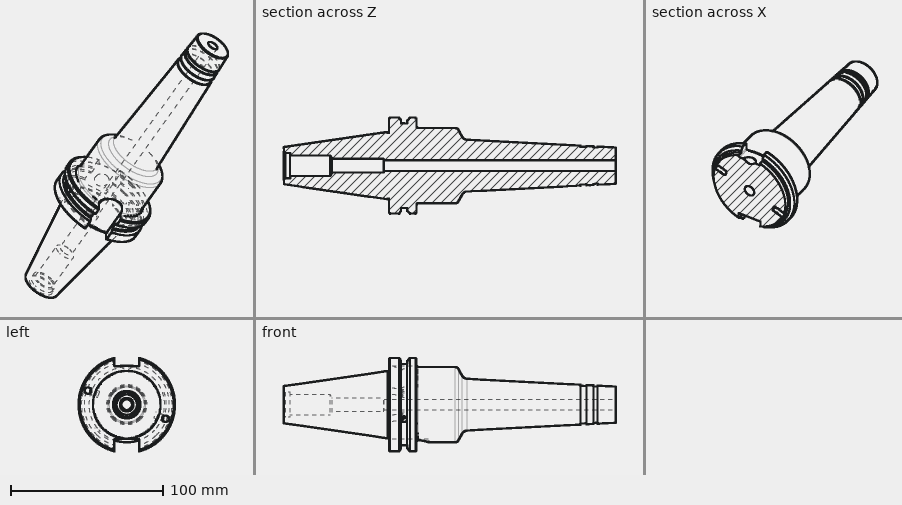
import cadquery as cq
import math

total_length = 218.2
gauge_x = 68.3
flange_start = 69.2
flange_end = 87.3

gauge_radius = 22.3
taper_ratio = 7 / 24 / 2
small_end_radius = gauge_radius - gauge_x * taper_ratio
small_end_fillet = 0.9
neck_radius = 21.5

flange_radius = 63.5 / 2
flange_chamfer_radial = 0.9
flange_chamfer_axial = 0.7
groove_floor_radius = 28.0
groove_floor_start = 77.3
groove_floor_end = 81.2
groove_wall_radius = 29.7
groove_left_bevel = 1.3
groove_right_bevel = 1.7

body_radius = 49.5 / 2
body_root_fillet = 1.0
body_corner_x = 114.1
body_corner_fillet = 2.5
nose_start_x = 118.3
nose_start_radius = 17.2
nose_root_fillet = 3.7
nose_angle = 3.0
nose_end_chamfer = 0.5

ring_spans = [(195.0, 198.8), (203.5, 206.2)]
ring_depth = 0.7

bore_mouth_radius = 18.1 / 2
bore_mouth_depth = 1.3
pilot_radius = 16.4 / 2
pilot_depth = 4.4
thread_radius = 13.3 / 2
thread_depth = 30.5
feed_radius = 9.0 / 2
feed_depth = 65.5
through_radius = 7.0 / 2
drill_point_angle = 59.0

slot_width = 16.4
top_slot_floor = 25.3
bottom_slot_floor = 22.7
top_slot_fillet = 0.7
dimple_diameter = 9.5
dimple_x = 77.0
dimple_half_angle = 59.0

coolant_angle = 20.0
coolant_mouth_radius = 27.0
inclined_hole_diameter = 4.1
inclination = 25.0
radial_hole_diameter = 4.1
radial_hole_x = 79.0
radial_hole_bottom = 19.6


def nose_radius(x):
    return nose_start_radius - (x - nose_start_x) * math.tan(math.radians(nose_angle))


def revolve_profile(points):
    """Revolve a closed (x, radius) outline around the X axis."""
    return cq.Workplane("XY").polyline(points).close().revolve(360, (0, 0, 0), (1, 0, 0))


def fillet_circle(solid, x, radius, size):
    """Round the circular edge found at the given station and radius."""
    tolerance = 0.02
    edge = cq.selectors.BoxSelector(
        (x - tolerance, -radius - tolerance, -radius - tolerance),
        (x + tolerance, radius + tolerance, radius + tolerance),
        boundingbox=True,
    )
    ring = solid.edges(edge).edges(cq.selectors.RadiusNthSelector(-1))
    return ring.fillet(size)


def make_shaft():
    shaft = revolve_profile([
        (0, 0),
        (0, small_end_radius),
        (gauge_x, gauge_radius),
        (gauge_x, neck_radius),
        (flange_start, neck_radius),
        (flange_start, flange_radius - flange_chamfer_radial),
        (flange_start + flange_chamfer_axial, flange_radius),
        (groove_floor_start - groove_left_bevel, flange_radius),
        (groove_floor_start, groove_wall_radius),
        (groove_floor_start, groove_floor_radius),
        (groove_floor_end, groove_floor_radius),
        (groove_floor_end, groove_wall_radius),
        (groove_floor_end + groove_right_bevel, flange_radius),
        (flange_end - flange_chamfer_axial, flange_radius),
        (flange_end, flange_radius - flange_chamfer_radial),
        (flange_end, body_radius),
        (body_corner_x, body_radius),
        (nose_start_x, nose_start_radius),
        (total_length - nose_end_chamfer, nose_radius(total_length - nose_end_chamfer)),
        (total_length, nose_radius(total_length) - nose_end_chamfer),
        (total_length, 0),
    ])
    shaft = fillet_circle(shaft, 0, small_end_radius, small_end_fillet)
    shaft = fillet_circle(shaft, flange_end, body_radius, body_root_fillet)
    shaft = fillet_circle(shaft, body_corner_x, body_radius, body_corner_fillet)
    return fillet_circle(shaft, nose_start_x, nose_start_radius, nose_root_fillet)


def make_ring_groove(start, end):
    outside = body_radius
    return revolve_profile([
        (start, nose_radius(start) - ring_depth),
        (start, outside),
        (end, outside),
        (end, nose_radius(end) - ring_depth),
    ])


def make_bore():
    def cone_length(large, small):
        return (large - small) / math.tan(math.radians(drill_point_angle))

    return revolve_profile([
        (0, 0),
        (0, bore_mouth_radius),
        (bore_mouth_depth, pilot_radius),
        (pilot_depth, pilot_radius),
        (pilot_depth, thread_radius),
        (thread_depth, thread_radius),
        (thread_depth + cone_length(thread_radius, feed_radius), feed_radius),
        (feed_depth, feed_radius),
        (feed_depth + cone_length(feed_radius, through_radius), through_radius),
        (total_length, through_radius),
        (total_length, 0),
    ])


def make_top_slot():
    """Slot through the flange, rounded at the floor corners, with a conical dimple."""
    length = flange_end - flange_start
    height = flange_radius - top_slot_floor
    slot = (
        cq.Workplane("XY", origin=(flange_start, 0, top_slot_floor))
        .box(length, slot_width, height, centered=(False, True, False))
        .edges("|X and <Z")
        .fillet(top_slot_fillet)
    )
    dimple_radius = dimple_diameter / 2
    depth = dimple_radius / math.tan(math.radians(dimple_half_angle))
    dimple = cq.Solid.makeCone(
        dimple_radius, 0, depth, pnt=(dimple_x, 0, top_slot_floor), dir=(0, 0, -1)
    )
    return slot.union(cq.Workplane(obj=dimple))


def make_bottom_slot():
    """Slot through the flange that runs out into the body with a round end."""
    length = flange_end - flange_start
    height = flange_radius - bottom_slot_floor
    slot = (
        cq.Workplane("XY", origin=(flange_start, 0, -flange_radius))
        .box(length, slot_width, height, centered=(False, True, False))
    )
    round_end = (
        cq.Workplane("XY", origin=(flange_end, 0, -flange_radius))
        .circle(slot_width / 2)
        .extrude(height)
    )
    return slot.union(round_end)


def make_coolant_hole():
    """Inclined hole from the flange face, met by a radial hole from the groove."""
    tilt = math.radians(inclination)
    clearance = 3.3
    start = (
        flange_start - clearance * math.cos(tilt),
        coolant_mouth_radius + clearance * math.sin(tilt),
        0,
    )
    length = clearance + (radial_hole_x - flange_start) / math.cos(tilt)
    direction = (math.cos(tilt), -math.sin(tilt), 0)
    inclined = cq.Solid.makeCylinder(inclined_hole_diameter / 2, length, start, direction)
    radial = cq.Solid.makeCylinder(
        radial_hole_diameter / 2,
        groove_wall_radius - radial_hole_bottom,
        (radial_hole_x, radial_hole_bottom, 0),
        (0, 1, 0),
    )
    return cq.Workplane(obj=inclined).union(cq.Workplane(obj=radial))


result = make_shaft()
for ring_start, ring_end in ring_spans:
    result = result.cut(make_ring_groove(ring_start, ring_end))
result = result.cut(make_bore())
result = result.cut(make_top_slot())
result = result.cut(make_bottom_slot())
for side_angle in (0, 180):
    result = result.cut(
        make_coolant_hole().rotate((0, 0, 0), (1, 0, 0), coolant_angle + side_angle)
    )